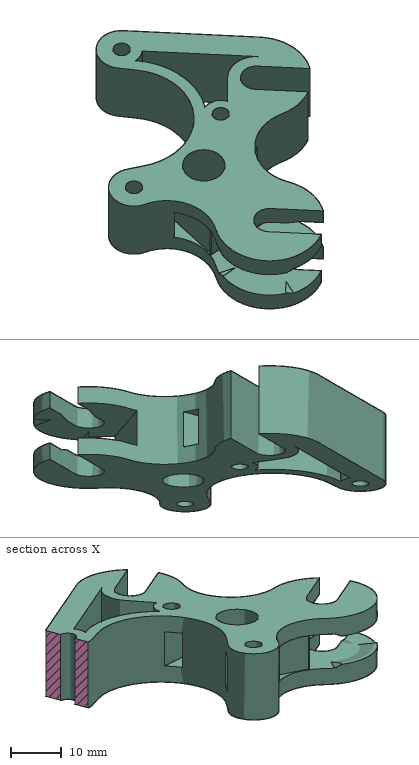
import cadquery as cq
import math

thickness = 14.0
bore_radius = 4.15
pin_radius = 1.7
boss_radius = 5.0
fork_radius = 10.85
jaw_radius = 3.1
jaw_angle = 22.5
blend_radius = 9.85
arch_radius = 12.95

arm_boss = (-28.1, 20.6)
lower_boss = (-9.75, -11.3)
middle_pin = (-3.05, 13.75)
upper_fork = (-1.0, 25.5)
lower_fork = (18.05, -7.4)
arch_center = (-18.85, 4.65)

arm_width = 5.2
arch_wall = 2.5
arm_boss_rim = 4.1
pin_rim = 3.6
web_corner_angle = 95

passage_height = 7.2
straight_passage_width = 3.3
straight_passage_y = 10.2
slant_passage_width = 2.85
slant_angle = -24.7
slant_wall_end = (7.55, -11.85)
gap_depth = 7.6

seat_height = 0.6
seat_radius = 4.35
seat_base_radius = 6.5
lip_radius = 7.45
lip_crest_radius = 10.25
lip_start_angle = 230
lip_end_angle = 322
lip_end_slope = 67

reach = 37.2


def polar(center, radius, angle):
    """Point at a radius and an angle in degrees about a center."""
    turn = math.radians(angle)
    return (center[0] + radius * math.cos(turn), center[1] + radius * math.sin(turn))


def heading(start, end):
    """Direction from one point to another, in degrees."""
    return math.degrees(math.atan2(end[1] - start[1], end[0] - start[0]))


def toward(center, radius, target):
    """Point of a circle that faces a target point."""
    return polar(center, radius, heading(center, target))


def circle_crossing(first, first_radius, second, second_radius):
    """Crossing of two circles on the left of the line from first to second."""
    span = math.dist(first, second)
    cosine = (span**2 + first_radius**2 - second_radius**2) / (2 * span * first_radius)
    return polar(first, first_radius, heading(first, second) + math.degrees(math.acos(cosine)))


def crossing_tangent(boss, side):
    """Ends, on a boss and on the arch, of their crossing tangent line."""
    cosine = (boss_radius + arch_radius) / math.dist(boss, arch_center)
    angle = heading(boss, arch_center) + side * math.degrees(math.acos(cosine))
    return polar(boss, boss_radius, angle), polar(arch_center, arch_radius, angle + 180)


def arm_normal_angle():
    """Outward direction of the straight outer side of the arm."""
    sine = (fork_radius - boss_radius) / math.dist(arm_boss, upper_fork)
    return heading(arm_boss, upper_fork) + math.degrees(math.asin(sine)) + 90


def make_body():
    normal = arm_normal_angle()
    waist = circle_crossing(
        upper_fork, fork_radius + blend_radius, lower_fork, fork_radius + blend_radius
    )
    hollow = circle_crossing(
        lower_fork, fork_radius + blend_radius, lower_boss, boss_radius + blend_radius
    )
    fork_middle = ((upper_fork[0] + lower_fork[0]) / 2, (upper_fork[1] + lower_fork[1]) / 2)
    arm_tangent, arch_arm_end = crossing_tangent(arm_boss, -1)
    lower_tangent, arch_lower_end = crossing_tangent(lower_boss, 1)
    arm_start = polar(arm_boss, boss_radius, normal)
    return (
        cq.Workplane("XY", origin=(0, 0, -thickness / 2))
        .moveTo(*arm_start)
        .lineTo(*polar(upper_fork, fork_radius, normal))
        .threePointArc(polar(upper_fork, fork_radius, jaw_angle), toward(upper_fork, fork_radius, waist))
        .threePointArc(toward(waist, blend_radius, fork_middle), toward(lower_fork, fork_radius, waist))
        .threePointArc(polar(lower_fork, fork_radius, jaw_angle), toward(lower_fork, fork_radius, hollow))
        .threePointArc(polar(hollow, blend_radius, 90), toward(lower_boss, boss_radius, hollow))
        .threePointArc(polar(lower_boss, boss_radius, 225), lower_tangent)
        .lineTo(*arch_lower_end)
        .threePointArc(polar(arch_center, arch_radius, 30), arch_arm_end)
        .lineTo(*arm_tangent)
        .threePointArc(polar(arm_boss, boss_radius, 200), arm_start)
        .close()
        .extrude(thickness)
    )


def make_arm_window():
    normal = arm_normal_angle()
    rim = fork_radius - arm_width
    arm_edge_end = polar(upper_fork, rim, normal)
    edge_offset = boss_radius - arm_width
    rim_turn = math.degrees(math.acos(edge_offset / arm_boss_rim))
    arm_edge_start = polar(arm_boss, arm_boss_rim, normal - rim_turn)
    outer_arch = arch_radius + arch_wall
    boss_corner = circle_crossing(arm_boss, arm_boss_rim, arch_center, outer_arch)
    pin_corner = circle_crossing(arch_center, outer_arch, middle_pin, pin_rim)
    web_corner = polar(middle_pin, pin_rim, web_corner_angle)
    tangent_turn = math.degrees(math.acos(rim / math.dist(upper_fork, web_corner)))
    web_angle = heading(upper_fork, web_corner) - tangent_turn
    return (
        cq.Workplane("XY", origin=(0, 0, -thickness / 2))
        .moveTo(*arm_edge_start)
        .lineTo(*arm_edge_end)
        .threePointArc(polar(upper_fork, rim, 180), polar(upper_fork, rim, web_angle))
        .lineTo(*web_corner)
        .threePointArc(polar(middle_pin, pin_rim, 135), pin_corner)
        .threePointArc(polar(arch_center, outer_arch, 75), boss_corner)
        .threePointArc(polar(arm_boss, arm_boss_rim, 0), arm_edge_start)
        .close()
        .extrude(thickness)
    )


def make_jaw(fork):
    """Round-ended slot that opens along the jaw direction."""
    round_end = cq.Workplane("XY").circle(jaw_radius).extrude(thickness)
    opening = cq.Workplane("XY").box(
        fork_radius, 2 * jaw_radius, thickness, centered=(False, True, False)
    )
    return (
        round_end.union(opening)
        .rotate((0, 0, 0), (0, 0, 1), jaw_angle)
        .translate((*fork, -thickness / 2))
    )


def make_holes():
    pins = (
        cq.Workplane("XY", origin=(0, 0, -thickness / 2))
        .pushPoints([arm_boss, lower_boss, middle_pin])
        .circle(pin_radius)
        .extrude(thickness)
    )
    bore = cq.Workplane("XY", origin=(0, 0, -thickness / 2)).circle(bore_radius).extrude(thickness)
    return pins.union(bore)


def make_straight_passage():
    """Passage along X from the arch to the waist."""
    return cq.Workplane("XY").box(reach, straight_passage_width, passage_height).translate(
        (0, straight_passage_y, 0)
    )


def make_slant_passage():
    """Passage from the arch, beside the lower boss, to the gap in the lower fork."""
    passage = cq.Workplane("XY").box(
        reach, slant_passage_width, passage_height, centered=(False, False, True)
    )
    return (
        passage.translate((-reach, -slant_passage_width, 0))
        .rotate((0, 0, 0), (0, 0, 1), slant_angle)
        .translate((*slant_wall_end, 0))
    )


def make_gap():
    """Open space between the cheeks, with a flat back wall square to the slant passage."""
    return (
        cq.Workplane("XY")
        .box(reach, reach, passage_height, centered=(False, True, True))
        .translate((-gap_depth, 0, 0))
        .rotate((0, 0, 0), (0, 0, 1), slant_angle)
        .translate((*lower_fork, 0))
    )


def make_lower_seat():
    """Conical seat and lip on the inner face of the lower cheek."""
    floor = -passage_height / 2
    seat = (
        cq.Workplane("XZ")
        .polyline([(0, 0), (seat_base_radius, 0), (seat_radius, seat_height), (0, seat_height)])
        .close()
        .revolve(360, (0, 0), (0, 1))
    )
    ring = (
        cq.Workplane("XZ")
        .polyline([(lip_radius, 0), (fork_radius, 0), (fork_radius, seat_height),
                   (lip_crest_radius, seat_height)])
        .close()
        .revolve(360, (0, 0), (0, 1))
    )
    sector = (
        cq.Workplane("XY")
        .polyline([(0, 0), polar((0, 0), reach, lip_start_angle), polar((0, 0), reach, lip_end_angle)])
        .close()
        .extrude(seat_height, taper=lip_end_slope)
    )
    return seat.union(ring.intersect(sector)).translate((*lower_fork, floor))


body = make_body().cut(make_straight_passage()).cut(make_slant_passage()).cut(make_gap())
lower_seat = make_lower_seat()
body = body.union(lower_seat).union(lower_seat.mirror("XY"))
body = body.cut(make_arm_window()).cut(make_holes())
result = body.cut(make_jaw(upper_fork)).cut(make_jaw(lower_fork))